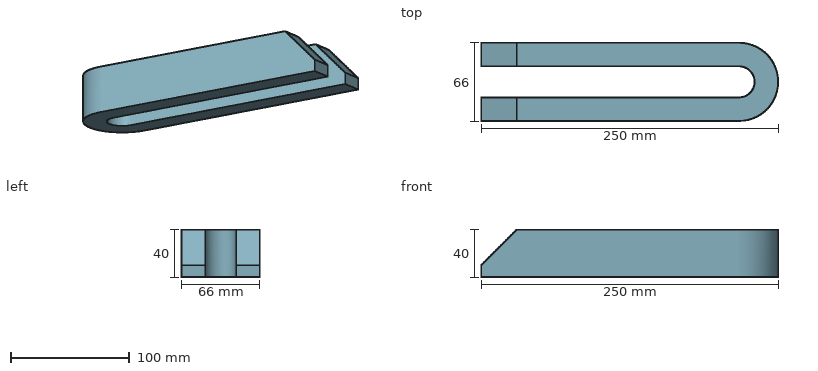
import cadquery as cq

length = 250.0
width = 66.0
height = 40.0
slot_width = 26.0
nose_height = 10.0
bevel_length = 30.0

outer_radius = width / 2
slot_radius = slot_width / 2
bend_x = length - outer_radius


def round_ended_bar(radius):
    """Bar from X = 0 to the bend centre, closed by a half-round end."""
    return (
        cq.Workplane("XY")
        .moveTo(0, -radius)
        .lineTo(bend_x, -radius)
        .threePointArc((bend_x + radius, 0), (bend_x, radius))
        .lineTo(0, radius)
        .close()
        .extrude(height)
    )


def nose_bevel():
    """Wedge removed from the top of both arms at the open end."""
    return (
        cq.Workplane("XZ")
        .moveTo(0, nose_height)
        .lineTo(bevel_length, height)
        .lineTo(0, height)
        .close()
        .extrude(outer_radius, both=True)
    )


result = round_ended_bar(outer_radius).cut(round_ended_bar(slot_radius)).cut(nose_bevel())